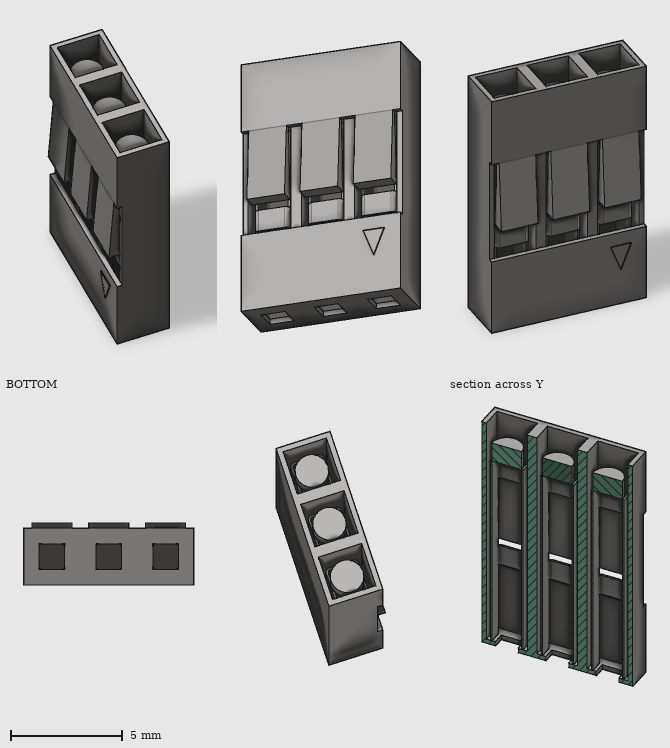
import cadquery as cq


positions = 3
pitch = 2.55
width = 7.62
depth = 2.55
height = 12.0
wall = 0.25
floor = wall
cavity_width = 2.04
cavity_depth = depth - 2 * wall
cavity_centre_y = depth / 2
pin_hole_side = 1.14

window_bottom = 3.7
window_top = 8.72

latch_width = 1.8
latch_bottom = 5.3
latch_front_lean = 0.24
latch_back_lean = 0.22

mark_width = 1.01
mark_top = 3.05
mark_height = 1.26
mark_thickness = 0.05

tube_width = 1.67
tube_depth = 1.56
tube_wall = 0.11
tube_corner_radius = 0.2
tube_bottom = floor
tube_top = 10.0
band_bottom = 4.01
band_top = 5.02
opening_top = window_top
opening_depth = 0.19
wire_diameter = 1.5
wire_top = 11.0

centres_x = [(i - (positions - 1) / 2) * pitch for i in range(positions)]


def box(x, y, size_x, size_y, bottom, top):
    """Upright box centred on (x, y)."""
    return cq.Workplane("XY", origin=(x, y, bottom)).rect(size_x, size_y).extrude(top - bottom)


def make_latch(x):
    """Wedge that grows thicker downwards, level with the front wall at its top."""
    profile = [
        (0, window_top),
        (-latch_front_lean, latch_bottom),
        (wall + latch_back_lean, latch_bottom),
        (wall, window_top),
    ]
    start = cq.Workplane("YZ", origin=(x - latch_width / 2, 0, 0))
    return start.polyline(profile).close().extrude(latch_width)


def make_mark(x):
    """Raised triangle on the front face, pointing down."""
    outline = [
        (x - mark_width / 2, mark_top),
        (x + mark_width / 2, mark_top),
        (x, mark_top - mark_height),
    ]
    return cq.Workplane("XZ").polyline(outline).close().extrude(mark_thickness)


def make_housing():
    """Block with one cavity, pin hole and latch for each position."""
    body = box(0, depth / 2, width, depth, 0, height)
    body = body.cut(box(0, wall / 2, width, wall, window_bottom, window_top))
    for x in centres_x:
        body = body.cut(box(x, cavity_centre_y, cavity_width, cavity_depth, floor, height))
        body = body.cut(box(x, cavity_centre_y, pin_hole_side, pin_hole_side, 0, floor))
    for x in centres_x:
        body = body.union(make_latch(x))
    return body.union(make_mark(centres_x[-1]))


def make_contact(x):
    """Rounded square tube with a front band between two openings, and the wire on its top."""
    outside = box(x, cavity_centre_y, tube_width, tube_depth, tube_bottom, tube_top)
    outside = outside.edges("|Z").fillet(tube_corner_radius)
    inside = box(
        x,
        cavity_centre_y,
        tube_width - 2 * tube_wall,
        tube_depth - 2 * tube_wall,
        tube_bottom,
        tube_top,
    )
    inside = inside.edges("|Z").fillet(tube_corner_radius - tube_wall)
    tube = outside.cut(inside)

    front = cavity_centre_y - tube_depth / 2
    opening_centre_y = front + opening_depth / 2
    for bottom, top in [(tube_bottom, band_bottom), (band_top, opening_top)]:
        tube = tube.cut(box(x, opening_centre_y, tube_width, opening_depth, bottom, top))

    wire = cq.Workplane("XY", origin=(x, cavity_centre_y, tube_top))
    wire = wire.circle(wire_diameter / 2).extrude(wire_top - tube_top)
    return tube.union(wire)


housing = make_housing()
contacts = [make_contact(x) for x in centres_x]

result = cq.Compound.makeCompound([housing.val(), *[contact.val() for contact in contacts]])